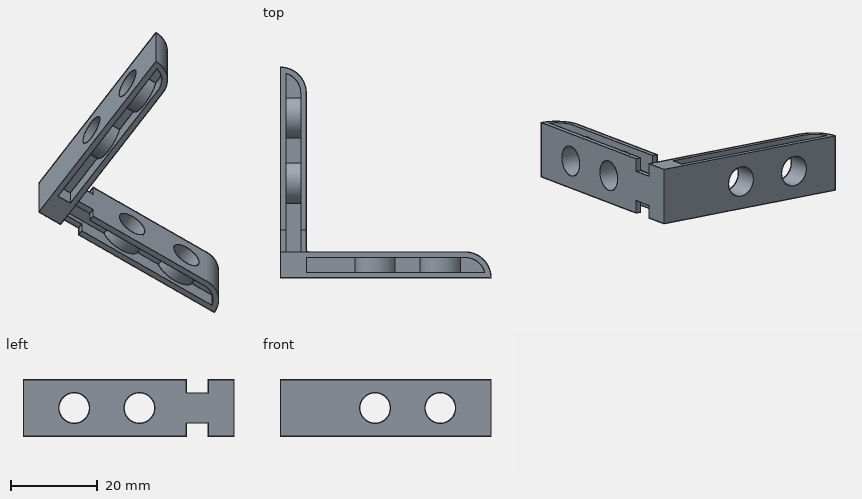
import cadquery as cq
import math

arm_length = 48.5
arm_width = 6.0
height = 13.0
mid_height = height / 2

wall = 1.3
web_thickness = 3.8
pocket_depth = (height - web_thickness) / 2

tip_radius = arm_width
tip_center = arm_length - tip_radius
pocket_tip_radius = tip_radius - wall
pocket_end = tip_center + math.sqrt(pocket_tip_radius**2 - wall**2)

hole_diameter = 7.0
boss_diameter = 10.0
hole_spacing = 15.0
first_hole = 21.8
hole_positions = [first_hole, first_hole + hole_spacing]

notch_length = 5.0
notch_depth = 3.0

corner_fillet = 0.5


def arc_middle(radius, start_angle, end_angle):
    """Point halfway along an arc about the tip centre, angles in radians."""
    angle = (start_angle + end_angle) / 2
    return (tip_center + radius * math.cos(angle), radius * math.sin(angle))


def arm_body():
    """Solid arm along +X with its outer face on Y = 0."""
    return (
        cq.Workplane("XY")
        .lineTo(arm_length, 0)
        .threePointArc(arc_middle(tip_radius, 0, math.pi / 2), (tip_center, arm_width))
        .lineTo(0, arm_width)
        .close()
        .extrude(height)
    )


def pocket(bottom):
    """Pocket volume that follows the arm outline one wall thickness inside."""
    end_angle = math.asin(wall / pocket_tip_radius)
    return (
        cq.Workplane("XY", origin=(0, 0, bottom))
        .moveTo(arm_width, wall)
        .lineTo(pocket_end, wall)
        .threePointArc(
            arc_middle(pocket_tip_radius, end_angle, math.pi / 2),
            (tip_center, arm_width - wall),
        )
        .lineTo(arm_width, arm_width - wall)
        .close()
        .extrude(pocket_depth)
    )


def cross_cylinders(diameter):
    """Cylinders through the arm width at every hole position."""
    return (
        cq.Workplane("XZ", origin=(0, 0, mid_height))
        .pushPoints([(x, 0) for x in hole_positions])
        .circle(diameter / 2)
        .extrude(-arm_width)
    )


def make_arm():
    """Arm along +X with both pockets, the bosses and the screw holes."""
    arm = arm_body()
    for bottom in (0, height - pocket_depth):
        arm = arm.cut(pocket(bottom))
    return arm.union(cross_cylinders(boss_diameter)).cut(cross_cylinders(hole_diameter))


def cut_notches(arm):
    """Notch the top and bottom edges of an arm next to the corner block."""
    for bottom in (0, height - notch_depth):
        notch = cq.Workplane("XY", origin=(arm_width, 0, bottom)).box(
            notch_length, arm_width, notch_depth, centered=False
        )
        arm = arm.cut(notch)
    return arm


def swap_x_and_y(arm):
    """Mirror an arm about the plane X = Y so that it runs along +Y."""
    return arm.mirror("YZ").rotate((0, 0, 0), (0, 0, 1), -90)


def fillet_inner_corner(bracket):
    """Round the inner corner along the part of the second arm left between the notches."""
    corner_edge = cq.selectors.NearestToPointSelector((arm_width, arm_width, mid_height))
    return bracket.edges("|Z").edges(corner_edge).fillet(corner_fillet)


x_arm = make_arm()
y_arm = swap_x_and_y(cut_notches(make_arm()))
result = fillet_inner_corner(x_arm.union(y_arm))